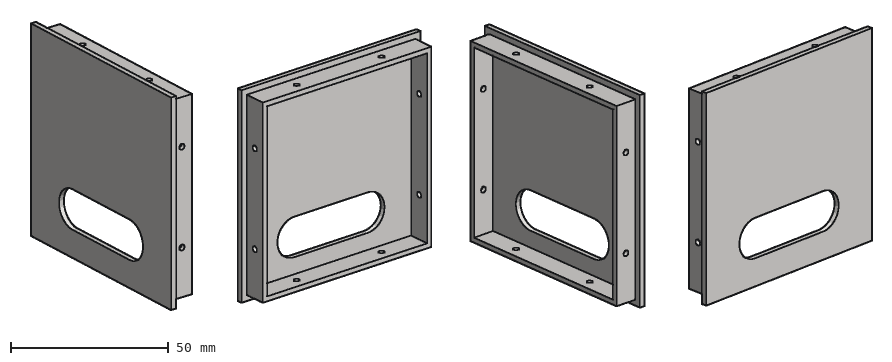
import cadquery as cq

plate_side = 73.6
plate_thickness = 2.0

total_depth = 10.0
frame_side = 69.3
wall_thickness = 1.8
frame_depth = total_depth - plate_thickness

slot_length = 44.0
slot_height = 14.0
slot_center_z = -20.0

hole_diameter = 2.0
hole_spacing = 34.9
hole_y = plate_thickness + frame_depth / 2


def square_block(side, front_y, depth):
    """Square block centred on X and Z, reaching back from front_y."""
    return cq.Workplane("XY").box(side, depth, side).translate((0, front_y + depth / 2, 0))


def slot_cutter():
    """Round-ended slot running along X, passing through the plate."""
    return (
        cq.Workplane("XZ")
        .center(0, slot_center_z)
        .slot2D(slot_length, slot_height)
        .extrude(plate_thickness, both=True)
    )


def hole_pair(plane):
    """Two holes across the whole frame, normal to the given plane."""
    cutter = cq.Workplane(plane).circle(hole_diameter / 2).extrude(plate_side, both=True)
    offset = hole_spacing / 2
    across = cq.Vector(1, 0, 0) if plane == "XY" else cq.Vector(0, 0, 1)
    to_frame = cq.Vector(0, hole_y, 0)
    return cutter.translate(to_frame + across * offset).union(
        cutter.translate(to_frame - across * offset)
    )


plate = square_block(plate_side, 0, plate_thickness)
frame = square_block(frame_side, plate_thickness, frame_depth)
cavity = square_block(frame_side - 2 * wall_thickness, plate_thickness, frame_depth)

result = plate.union(frame).cut(cavity).cut(slot_cutter())
for hole_plane in ("XY", "YZ"):
    result = result.cut(hole_pair(hole_plane))